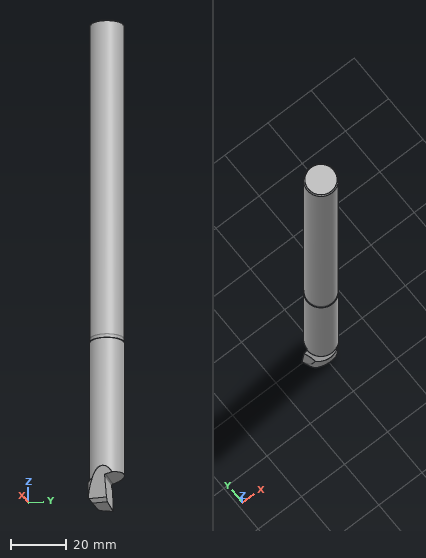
import cadquery as cq
import math


shank_diameter = 12.7
shank_radius = shank_diameter / 2
total_length = 184.15
end_chamfer = 0.5
taper_top = 63.2
taper_angle = 7.2

bar_diameter = 12.85
bar_radius = bar_diameter / 2
bar_top = 61.85

total_width = 15.3
total_depth = 13.68
tip_x = bar_radius - total_width
head_radius = total_depth - bar_radius
head_center_x = -1.1
shoulder_top = 8.6
shoulder_angle = 36

rake_angle = 2
roof_height = 9.6
roof_angle = 11
recess_fillet = 0.5

back_x = 2.45
back_z = 2.8
back_angle = 22
foot_bevel_x = 1.0
foot_bevel_z = 0.8
foot_bevel_angle = 45

flank_angle = 16
flank_back_angle = 7.5
end_edge_angle = 3
heel_y = -5.3
heel_z = 0.5
heel_angle = 52

cutter_size = 40


def direction(angle):
    """Cosine and sine of an angle in degrees."""
    return math.cos(math.radians(angle)), math.sin(math.radians(angle))


def half_space(origin, normal):
    """Large block that fills the side of a plane that the normal points to."""
    plane = cq.Plane(origin=origin, normal=normal)
    return cq.Workplane(plane).rect(cutter_size, cutter_size).extrude(cutter_size)


def turned(profile):
    """Solid of revolution about Z from (radius, height) points."""
    return cq.Workplane("XZ").polyline(profile).close().revolve(360, (0, 0), (0, 1))


def make_shank():
    taper_foot_radius = shank_radius - (taper_top - bar_top) * math.tan(math.radians(taper_angle))
    return turned([
        (0, bar_top),
        (taper_foot_radius, bar_top),
        (shank_radius, taper_top),
        (shank_radius, total_length - end_chamfer),
        (shank_radius - end_chamfer, total_length),
        (0, total_length),
    ])


def make_bar_blank():
    return cq.Workplane("XY").circle(bar_radius).extrude(bar_top)


def make_head():
    tip_distance = head_center_x - tip_x
    tangent_x = head_center_x - head_radius**2 / tip_distance
    tangent_y = head_radius * math.sqrt(1 - (head_radius / tip_distance) ** 2)
    cylinder = cq.Workplane("XY").center(head_center_x, 0).circle(head_radius).extrude(shoulder_top)
    wedge = (
        cq.Workplane("XY")
        .polyline([
            (tip_x, 0),
            (tangent_x, -tangent_y),
            (head_center_x, 0),
            (tangent_x, tangent_y),
        ])
        .close()
        .extrude(shoulder_top)
    )

    reach = -tip_x
    shoulder_drop = (reach - bar_radius) * math.tan(math.radians(shoulder_angle))
    shoulder = turned([
        (0, 0),
        (reach, 0),
        (reach, shoulder_top - shoulder_drop),
        (bar_radius, shoulder_top),
        (0, shoulder_top),
    ])
    return cylinder.union(wedge).intersect(shoulder).cut(flank_clearance())


def make_recess():
    """Block that clears the +Y side in front of the cutting edge."""
    roof_rise = cutter_size * math.tan(math.radians(roof_angle))
    block = (
        cq.Workplane("YZ")
        .polyline([
            (0, -1),
            (0, roof_height),
            (cutter_size, roof_height + roof_rise),
            (cutter_size, -1),
        ])
        .close()
        .extrude(cutter_size, both=True)
    )
    inner_corner = cq.selectors.NearestToPointSelector((0, 0, roof_height))
    block = block.edges(inner_corner).fillet(recess_fillet)
    return block.rotate((0, 0, 0), (0, 0, 1), rake_angle).translate((tip_x, 0, 0))


def slanted_back():
    c, s = direction(back_angle)
    return half_space((back_x, 0, back_z), (c, 0, -s))


def foot_bevel():
    c, s = direction(foot_bevel_angle)
    return half_space((foot_bevel_x, 0, foot_bevel_z), (c, 0, -s))


def flank_clearance():
    c, s = direction(flank_angle)
    return half_space((tip_x, 0, 0), (-c, -s, math.tan(math.radians(flank_back_angle))))


def end_clearance():
    c, s = direction(end_edge_angle)
    return half_space((tip_x, 0, 0), (s, 0, -c))


def heel_clearance():
    c, s = direction(heel_angle)
    return half_space((0, heel_y, heel_z), (0, -s, -c))


def make_bar():
    bar = make_bar_blank().union(make_head())
    for cutter in (
        make_recess(),
        slanted_back(),
        foot_bevel(),
        end_clearance(),
        heel_clearance(),
    ):
        bar = bar.cut(cutter)
    return bar


shank = make_shank()
bar = make_bar()
result = cq.Compound.makeCompound([shank.val(), bar.val()])